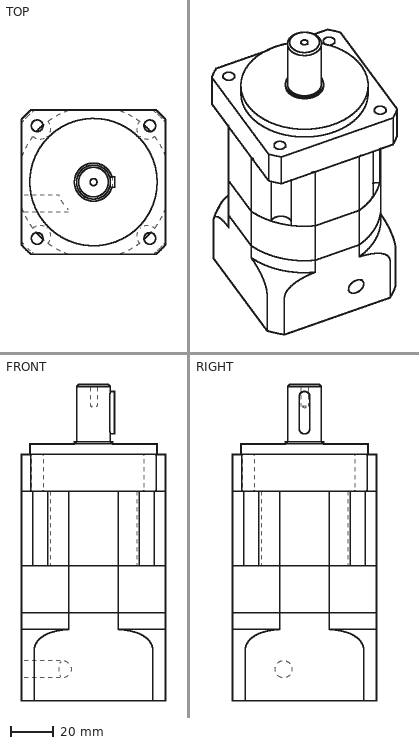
import cadquery as cq
import math

square_size = 68.0
half_square = square_size / 2
barrel_radius = 35.95

adapter_height = 41.35
ring_height = 22.35
barrel_height = 35.0
flange_height = 17.3
pilot_height = 5.0
shaft_length = 28.0

ring_z = adapter_height
barrel_z = ring_z + ring_height
flange_z = barrel_z + barrel_height
pilot_z = flange_z + flange_height
shaft_z = pilot_z + pilot_height
shaft_top_z = shaft_z + shaft_length

adapter_corner_radius = 44.0
adapter_shoulder_height = 33.8
adapter_shoulder_fillet = 10.0
access_hole_diameter = 8.0
access_hole_y = -10.0
access_hole_z = 15.0
access_hole_core_radius = 17.5

flute_radius = 5.0
flute_circle_radius = 35.75

flange_corner_radius = 45.0
bolt_hole_diameter = 5.5
bolt_circle_radius = 37.5
pilot_diameter = 60.0
collar_diameter = 18.0
collar_height = 0.9
shaft_diameter = 16.0
shaft_chamfer = 1.0
centre_hole_diameter = 3.3
centre_hole_depth = 10.0
drill_point_angle = 118.0

key_width = 5.0
key_length = 20.0
key_outer_x = 10.0
key_top_gap = 3.3


def cylinder(radius, z, height):
    return cq.Workplane("XY", origin=(0, 0, z)).circle(radius).extrude(height)


def trim_to_square(body, z, height):
    """Cut four flats on a round body so it fits the common square."""
    square = cq.Workplane("XY", origin=(0, 0, z)).rect(square_size, square_size).extrude(height)
    return body.intersect(square)


def corner_cylinders(radius, circle_radius, z, height):
    """Four upright cylinders, one on each diagonal of the square."""
    spacing = circle_radius * math.sqrt(2)
    return (
        cq.Workplane("XY", origin=(0, 0, z))
        .rarray(spacing, spacing, 2, 2)
        .circle(radius)
        .extrude(height)
    )


def make_adapter():
    foot = cylinder(adapter_corner_radius, 0, adapter_shoulder_height)
    foot = foot.faces(">Z").edges().fillet(adapter_shoulder_fillet)
    neck = cylinder(barrel_radius, 0, adapter_height)
    body = trim_to_square(foot.union(neck), 0, adapter_height)
    access_hole = (
        cq.Workplane("YZ", origin=(-half_square, access_hole_y, access_hole_z))
        .circle(access_hole_diameter / 2)
        .extrude(half_square)
        .cut(cylinder(access_hole_core_radius, 0, adapter_height))
    )
    return body.cut(access_hole)


def make_ring():
    return trim_to_square(cylinder(barrel_radius, ring_z, ring_height), ring_z, ring_height)


def make_barrel():
    body = trim_to_square(cylinder(barrel_radius, barrel_z, barrel_height), barrel_z, barrel_height)
    return body.cut(corner_cylinders(flute_radius, flute_circle_radius, barrel_z, barrel_height))


def make_key():
    """Round-ended key standing out of the +X side of the shaft."""
    key_z = shaft_top_z - key_top_gap - key_length / 2
    return (
        cq.Workplane("YZ", origin=(0, 0, key_z))
        .slot2D(key_length, key_width, 90)
        .extrude(key_outer_x)
    )


def make_centre_hole():
    """Blind drilled hole with a conical point, from the shaft end down."""
    radius = centre_hole_diameter / 2
    point_depth = radius / math.tan(math.radians(drill_point_angle / 2))
    wall_end_z = shaft_top_z - centre_hole_depth
    return (
        cq.Workplane("XZ")
        .moveTo(0, shaft_top_z)
        .lineTo(radius, shaft_top_z)
        .lineTo(radius, wall_end_z)
        .lineTo(0, wall_end_z - point_depth)
        .close()
        .revolve(360, (0, 0, 0), (0, 1, 0))
    )


def make_output():
    """Square mounting flange with its pilot, shaft and key."""
    flange = trim_to_square(
        cylinder(flange_corner_radius, flange_z, flange_height), flange_z, flange_height
    )
    flange = flange.cut(
        corner_cylinders(bolt_hole_diameter / 2, bolt_circle_radius, flange_z, flange_height)
    )
    pilot = cylinder(pilot_diameter / 2, pilot_z, pilot_height)
    collar = cylinder(collar_diameter / 2, shaft_z, collar_height)
    shaft = cylinder(shaft_diameter / 2, shaft_z, shaft_length)
    shaft = shaft.faces(">Z").chamfer(shaft_chamfer)
    body = flange.union(pilot).union(collar).union(shaft).union(make_key())
    return body.cut(make_centre_hole())


adapter = make_adapter()
ring = make_ring()
barrel = make_barrel()
output = make_output()

result = cq.Compound.makeCompound([adapter.val(), ring.val(), barrel.val(), output.val()])